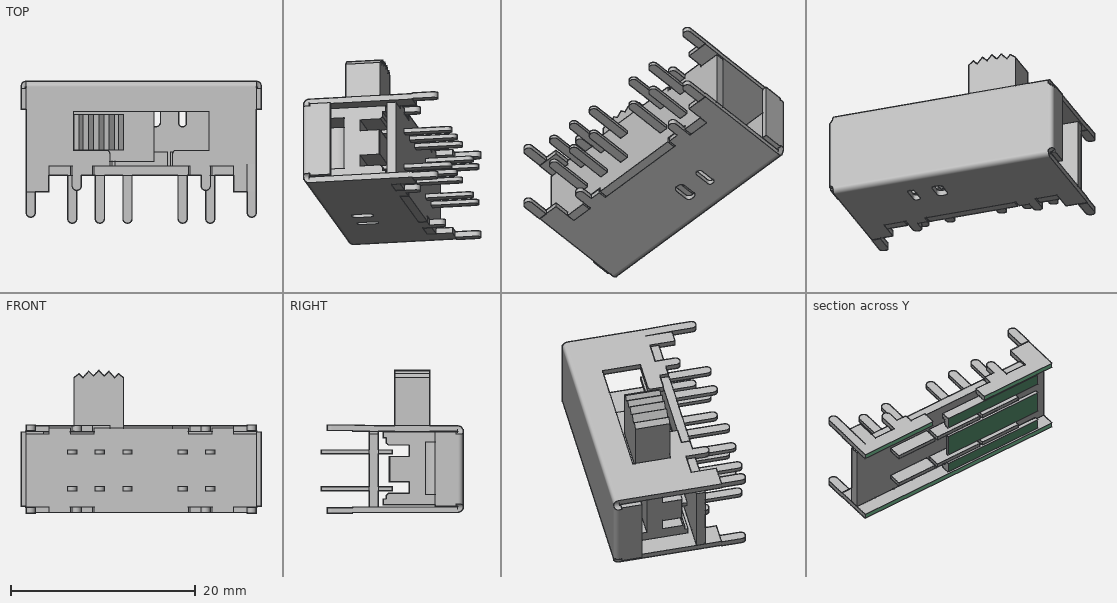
import cadquery as cq


frame_half_length = 12.48
frame_half_height = 4.7
sheet = 0.62
frame_inner_half = frame_half_height - sheet
bend_radius = 0.62
panel_depth = 9.2

flap_half_length = 13.0
flap_half_height = 4.03
flap_depth = 3.05
flap_bend_radius = flap_half_length - frame_half_length
relief_radius = 0.52
relief_height = 4.32
relief_depth = 0.78

foot_inner_x = 10.0
foot_depth = 11.99
foot_pin_depth = 14.75
foot_pin_offset = 0.08
ramp_rear_depth = 9.02

leg_outer_x = 7.5
leg_inner_x = 5.28
leg_depth = 10.15
leg_pin_depth = 11.83
pin_width = 1.01

window_half_length = 7.33
window_rear_depth = 3.3
window_front_depth = 7.51
neck_half_length = 3.4
neck_fillet = 0.3

floor_slots = [(0.88, 2.08, 0.47), (4.08, 4.85, 0.3)]
floor_slot_rear_depth = 2.57
floor_slot_front_depth = 4.91

base_front_depth = 10.2
base_shift = -0.13
base_core_half = 3.95
base_tooth_half = 4.58
tooth_clearance = 0.18

terminal_thickness = 0.45
terminal_tip_depth = 15.4
terminal_half_pitch = 2.0
terminal_step = 3.0
terminal_steps = (-2.5, -1.5, -0.5, 1.5, 2.5)
contact_rear_depth = 7.7
contact_gap_inner_x = 2.83
contact_gap_outer_x = 3.17
contact_end_x = terminal_steps[-1] * terminal_step + pin_width / 2

slider_center_x = -4.6
slider_half_length = 6.0
slider_rear_depth = 0.75
slider_top = 4.03
slider_bottom = -3.87
slider_rear_fillet = 0.78
arm_tip_depth = 8.68
arm_step_depth = 8.35
arm_step_height = 0.65
arm_chamfer = 0.23
tongue_depth = 8.05
tongue_chamfer = 0.1
contact_slot_depth = 5.88
contact_slot_inner = 1.38
contact_slot_outer = 2.6

channel_depth = 4.1
channel_bottom = -2.75
channel_top = 2.95
post_radius = 2.35
post_center_depth = 2.45

knob_half_length = 2.7
knob_rear_depth = 3.61
knob_front_depth = 7.44
knob_shoulder = 9.9
knob_peak = 10.7
knob_ridges = [(0.57, 10.1), (1.1, 10.6), (1.72, 9.9), (2.13, 10.35), (knob_half_length, knob_shoulder)]


def block(x0, x1, depth0, depth1, z0, z1):
    """Box between two X, two depths behind the rear plane, and two Z."""
    box = cq.Workplane("XY").box(x1 - x0, depth1 - depth0, z1 - z0, centered=False)
    return box.translate((x0, -depth1, z0))


def round_pin(center_x, depth0, tip_depth, z0, z1):
    """Flat pin along -Y with a full-round tip."""
    radius = pin_width / 2
    shoulder = -(tip_depth - radius)
    return (
        cq.Workplane("XY", origin=(center_x, 0, z0))
        .moveTo(-radius, -depth0)
        .lineTo(-radius, shoulder)
        .threePointArc((0, -tip_depth), (radius, shoulder))
        .lineTo(radius, -depth0)
        .close()
        .extrude(z1 - z0)
    )


def window_cutter():
    """Knob window with its neck, cut through the upper panel."""
    z0, z1 = frame_inner_half, frame_half_height
    window = block(-window_half_length, window_half_length, window_rear_depth, window_front_depth, z0, z1)
    flare = neck_half_length + neck_fillet
    front = -window_front_depth
    neck = (
        cq.Workplane("XY", origin=(0, 0, z0))
        .moveTo(-flare, front)
        .radiusArc((-neck_half_length, front - neck_fillet), neck_fillet)
        .lineTo(-neck_half_length, -panel_depth)
        .lineTo(neck_half_length, -panel_depth)
        .lineTo(neck_half_length, front - neck_fillet)
        .radiusArc((flare, front), neck_fillet)
        .close()
        .extrude(z1 - z0)
    )
    return window.union(neck)


def make_flap(side):
    """End flap with its bend, which is a little taller and is relieved at both corners."""
    x0, x1 = sorted((side * frame_half_length, side * flap_half_length))
    bend = (
        cq.Workplane("XY", origin=(side * frame_half_length, 0, -relief_height))
        .radiusArc((side * flap_bend_radius, -flap_bend_radius), side * flap_bend_radius)
        .lineTo(side * flap_bend_radius, -sheet)
        .lineTo(0, -sheet)
        .close()
        .extrude(2 * relief_height)
    )
    flap = block(x0, x1, sheet, flap_depth, -flap_half_height, flap_half_height)
    flap = flap.union(bend)
    for level in (-1, 1):
        relief = (
            cq.Workplane("XZ", origin=(side * flap_half_length, 0, level * relief_height))
            .circle(relief_radius)
            .extrude(relief_depth)
        )
        flap = flap.cut(relief)
    return flap


def make_frame():
    half = frame_half_length
    inner, outer = frame_inner_half, frame_half_height
    frame = (
        block(-half, half, 0, panel_depth, -outer, outer)
        .edges("|X and >Y").fillet(bend_radius)
        .cut(block(-half, half, sheet, panel_depth, -inner, inner))
    )

    for side in (-1, 1):
        frame = frame.union(make_flap(side))

    foot_pin_x = half - pin_width / 2
    leg_pin_x = leg_outer_x - pin_width / 2
    for level in (-1, 1):
        z0, z1 = sorted((level * inner, level * outer))
        pin_z0 = z0 + level * foot_pin_offset
        pin_z1 = z1 + level * foot_pin_offset
        for side in (-1, 1):
            foot_x0, foot_x1 = sorted((side * foot_inner_x, side * half))
            leg_x0, leg_x1 = sorted((side * leg_inner_x, side * leg_outer_x))
            frame = (
                frame.union(block(foot_x0, foot_x1, panel_depth, foot_depth, z0, z1))
                .union(round_pin(side * foot_pin_x, foot_depth, foot_pin_depth, pin_z0, pin_z1))
                .union(block(leg_x0, leg_x1, panel_depth, leg_depth, z0, z1))
                .union(round_pin(side * leg_pin_x, leg_depth, leg_pin_depth, z0, z1))
            )

    ramp = (
        cq.Workplane("YZ", origin=(half - pin_width, 0, 0))
        .moveTo(-ramp_rear_depth, outer)
        .lineTo(-foot_depth, outer)
        .lineTo(-foot_depth, outer + foot_pin_offset)
        .close()
        .extrude(pin_width)
    )
    frame = frame.union(ramp).cut(window_cutter())

    for x0, x1, corner in floor_slots:
        slot = block(x0, x1, floor_slot_rear_depth, floor_slot_front_depth, -outer, -inner)
        frame = frame.cut(slot.edges("|Z").fillet(corner))
    return frame


def make_base():
    core_bottom, core_top = base_shift - base_core_half, base_shift + base_core_half
    tooth_bottom, tooth_top = base_shift - base_tooth_half, base_shift + base_tooth_half
    base = block(-frame_half_length, frame_half_length, panel_depth, base_front_depth, core_bottom, core_top)

    middle_tooth = leg_inner_x - tooth_clearance
    side_tooth = leg_outer_x + tooth_clearance
    teeth = [(-foot_inner_x, -side_tooth), (-middle_tooth, middle_tooth), (side_tooth, foot_inner_x)]
    for x0, x1 in teeth:
        base = base.union(block(x0, x1, panel_depth, base_front_depth, tooth_bottom, tooth_top))

    contacts = [
        (-contact_end_x, -contact_gap_outer_x),
        (-contact_gap_inner_x, contact_gap_inner_x),
        (contact_gap_outer_x, contact_end_x),
    ]
    for level in (-1, 1):
        z0 = base_shift + level * terminal_half_pitch - terminal_thickness / 2
        z1 = z0 + terminal_thickness
        for x0, x1 in contacts:
            base = base.union(block(x0, x1, contact_rear_depth, panel_depth, z0, z1))
        for step in terminal_steps:
            base = base.union(round_pin(step * terminal_step, base_front_depth, terminal_tip_depth, z0, z1))
    return base


def make_knob():
    left = [(-x, z) for x, z in reversed(knob_ridges)]
    grip = [*left, (0, knob_peak), *knob_ridges]
    outline = [(-knob_half_length, slider_top), *grip, (knob_half_length, slider_top)]
    return (
        cq.Workplane("XZ", origin=(slider_center_x, -knob_rear_depth, 0))
        .polyline(outline)
        .close()
        .extrude(knob_front_depth - knob_rear_depth)
    )


def slider_body(x0, x1):
    """Slider section with an arm above and below, without the tongue between them."""
    chamfer_depth = arm_step_depth - arm_chamfer
    chamfer_height = contact_slot_outer + arm_chamfer
    upper_step = slider_top - arm_step_height
    lower_step = slider_bottom + arm_step_height
    section = [
        (slider_rear_depth, slider_top),
        (arm_tip_depth, slider_top),
        (arm_tip_depth, upper_step),
        (arm_step_depth, upper_step),
        (arm_step_depth, chamfer_height),
        (chamfer_depth, contact_slot_outer),
        (contact_slot_depth, contact_slot_outer),
        (contact_slot_depth, -contact_slot_outer),
        (chamfer_depth, -contact_slot_outer),
        (arm_step_depth, -chamfer_height),
        (arm_step_depth, lower_step),
        (arm_tip_depth, lower_step),
        (arm_tip_depth, slider_bottom),
        (slider_rear_depth, slider_bottom),
    ]
    return (
        cq.Workplane("YZ", origin=(x0, 0, 0))
        .polyline([(-depth, z) for depth, z in section])
        .close()
        .extrude(x1 - x0)
        .edges("|Z and >Y").fillet(slider_rear_fillet)
    )


def make_slider():
    x0 = slider_center_x - slider_half_length
    x1 = slider_center_x + slider_half_length
    tongue = (
        block(x0, x1, contact_slot_depth, tongue_depth, -contact_slot_inner, contact_slot_inner)
        .edges("|Z and <Y").chamfer(tongue_chamfer)
    )
    post = (
        cq.Workplane("XY", origin=(slider_center_x, -post_center_depth, channel_bottom))
        .circle(post_radius)
        .extrude(channel_top - channel_bottom)
    )
    channel = block(x0, x1, slider_rear_depth, channel_depth, channel_bottom, channel_top).cut(post)
    return slider_body(x0, x1).union(tongue).cut(channel).union(make_knob())


frame = make_frame()
base = make_base()
slider = make_slider()

result = cq.Compound.makeCompound([frame.solids().val(), base.solids().val(), slider.solids().val()])